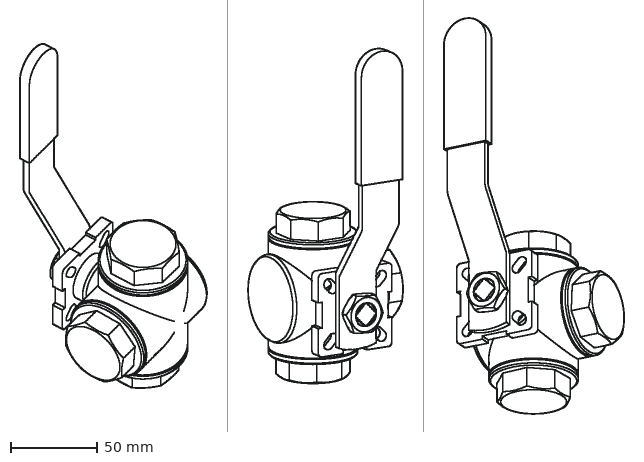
import math

import cadquery as cq


body_diameter = 52.0
port_reach = 36.5
back_reach = 29.0
ring_width = 3.3
groove_width = 0.6
groove_depth = 0.4
ring_chamfer = 1.0
back_chamfer_length = 2.0
back_chamfer_inset = 1.1

plug_height = 13.0
plug_sides = 8
plug_flats = 40.0
plug_face_diameter = 38.2
plug_bevel_angle = 30.0
top_plug_turn = -0.7
bottom_plug_turn = 3.6
front_plug_turn = -4.0

neck_diameter = 22.5
collar_diameter = 29.0
collar_start = 31.2
collar_chamfer = 1.5
neck_fillet = 1.3

flange_start = 39.5
flange_thickness = 7.1
flange_side = 50.0
flange_corner_radius = 2.5
side_notch_depth = 2.5
side_notch_width = 15.4
end_notch_depth = 2.0
end_notch_width = 16.0
slot_circle_diameter = 46.9
slot_spacing = 4.3
slot_width = 6.2

stem_diameter = 13.4
stem_flats = 10.3
stem_recess = 2.0
nut_sides = 6
nut_flats = 22.0
nut_height = 6.9
nut_bore = 14.0
nut_face_diameter = 20.5
nut_base_diameter = 22.8
nut_bevel_angle = 38.0
nut_turn = -4.5

strap_inner = 47.8
strap_thickness = 4.1
strap_width = 25.0
lever_offset = 1.5
strap_bottom = -22.0
strap_end_sagitta = 2.0
lower_bend = 23.9
upper_bend = 57.4
bend_inner_radius = 2.0
grip_outer = 78.85
grip_thickness = 6.8
grip_width = 28.0
grip_bottom = 83.8
lever_top = 162.61

strap_outer = strap_inner + strap_thickness
nut_end = strap_outer + nut_height

UP = cq.Vector(0, 0, 1)
DOWN = cq.Vector(0, 0, -1)
FRONT = cq.Vector(0, -1, 0)
STEM = cq.Vector(-1, 0, 0)


def plane_along(direction, distance=0.0, side=cq.Vector(0, 1, 0)):
    """Workplane normal to a direction, at a distance from the origin."""
    return cq.Workplane(cq.Plane(direction * distance, side, direction))


def bevelled_polygon(sides, flats, height, face_diameter, bevel_angle, base_diameter=None):
    """Prism along +Z, its corners cut back by cones that end at the face and base diameters.

    Without a base diameter the base keeps its full corners.
    """
    corner_diameter = flats / math.cos(math.pi / sides)
    base_diameter = base_diameter or corner_diameter
    corner_radius = corner_diameter / 2
    face_radius = face_diameter / 2
    base_radius = base_diameter / 2
    slope = math.tan(math.radians(bevel_angle))
    bevel_drop = (corner_radius - face_radius) * slope
    base_rise = (corner_radius - base_radius) * slope
    profile = cq.Workplane("XZ").lineTo(base_radius, 0)
    if base_rise > 0:
        profile = profile.lineTo(corner_radius, base_rise)
    envelope = (
        profile.lineTo(corner_radius, height - bevel_drop)
        .lineTo(face_radius, height)
        .lineTo(0, height)
        .close()
        .revolve(360, (0, 0, 0), (0, 1, 0))
    )
    prism = (
        cq.Workplane("XY")
        .polygon(sides, corner_diameter)
        .extrude(height)
        .rotate((0, 0, 0), (0, 0, 1), 180 / sides)
    )
    return prism.intersect(envelope)


def placed(shape, direction, distance, turn, side):
    """Turn a shape built along +Z about its axis, then stand it on a plane."""
    plane = cq.Plane(direction * distance, side, direction)
    return cq.Workplane(shape.rotate((0, 0, 0), (0, 0, 1), turn).val().moved(cq.Location(plane)))


def port_groove(direction):
    """Thin ring that separates a port ring from the body."""
    return (
        plane_along(direction, port_reach - ring_width - groove_width, cq.Vector(1, 0, 0))
        .circle(body_diameter / 2 + groove_depth)
        .circle(body_diameter / 2 - groove_depth)
        .extrude(groove_width)
    )


def make_body():
    run = (
        cq.Workplane("XY", origin=(0, 0, -port_reach))
        .circle(body_diameter / 2)
        .extrude(2 * port_reach)
        .faces("<Z or >Z")
        .chamfer(ring_chamfer)
    )
    run = run.cut(port_groove(UP)).cut(port_groove(DOWN))
    branch = (
        plane_along(FRONT, -back_reach, cq.Vector(1, 0, 0))
        .circle(body_diameter / 2)
        .extrude(back_reach + port_reach)
        .faces("<Y").chamfer(ring_chamfer)
        .faces(">Y").chamfer(back_chamfer_length, back_chamfer_inset)
    )
    branch = branch.cut(port_groove(FRONT))
    return run.union(branch)


def make_plugs():
    plug = bevelled_polygon(plug_sides, plug_flats, plug_height, plug_face_diameter, plug_bevel_angle)
    side = cq.Vector(1, 0, 0)
    plugs = placed(plug, UP, port_reach, top_plug_turn, side)
    plugs = plugs.union(placed(plug, DOWN, port_reach, bottom_plug_turn, side))
    return plugs.union(placed(plug, FRONT, port_reach, front_plug_turn, side))


def make_neck():
    """Neck, collar and stem, all round about the X axis."""
    neck = plane_along(STEM).circle(neck_diameter / 2).extrude(flange_start)
    collar = (
        plane_along(STEM, collar_start)
        .circle(collar_diameter / 2)
        .extrude(flange_start - collar_start)
        .faces(">X")
        .chamfer(collar_chamfer)
    )
    neck = neck.union(collar)
    collar_face_edges = neck.faces(cq.selectors.NearestToPointSelector((-collar_start, 0, 0))).edges()
    neck = collar_face_edges.edges(cq.selectors.RadiusNthSelector(0)).fillet(neck_fillet)
    stem = plane_along(STEM, flange_start).circle(stem_diameter / 2).extrude(strap_outer - flange_start)
    return neck.union(stem)


def make_flange():
    half = flange_side / 2
    base = plane_along(STEM, flange_start)
    flange = (
        base.rect(flange_side, flange_side)
        .extrude(flange_thickness)
        .edges("|X")
        .fillet(flange_corner_radius)
    )
    side_notches = (
        base.pushPoints([(-half, 0), (half, 0)])
        .rect(2 * side_notch_depth, side_notch_width)
        .extrude(flange_thickness)
    )
    end_notches = (
        base.pushPoints([(0, -half), (0, half)])
        .rect(end_notch_width, 2 * end_notch_depth)
        .extrude(flange_thickness)
    )
    flange = flange.cut(side_notches).cut(end_notches)
    slot = (
        base.center(slot_circle_diameter / 2, 0)
        .slot2D(slot_spacing + slot_width, slot_width)
        .extrude(flange_thickness)
    )
    for angle in (45, 135, 225, 315):
        flange = flange.cut(slot.rotate((0, 0, 0), (1, 0, 0), angle))
    return flange


def make_nut():
    """Hexagon nut with the clipped square stem end standing in its bore."""
    nut = bevelled_polygon(
        nut_sides, nut_flats, nut_height, nut_face_diameter, nut_bevel_angle, nut_base_diameter
    )
    corner_to_side = 180 / nut_sides
    nut = placed(nut, STEM, strap_outer, corner_to_side + nut_turn, cq.Vector(0, 1, 0))
    floor = plane_along(STEM, nut_end - stem_recess)
    bore = floor.circle(nut_bore / 2).extrude(stem_recess)
    stem_round = floor.circle(stem_diameter / 2).extrude(stem_recess)
    square = floor.transformed(rotate=(0, 0, 45)).rect(stem_flats, stem_flats).extrude(stem_recess)
    stem_end = stem_round.intersect(square)
    return nut.cut(bore.cut(stem_end))


def make_strap():
    """Cranked flat bar with a shallow arc at its lower end."""
    half_thickness = strap_thickness / 2
    lower_x = -(strap_inner + half_thickness)
    upper_x = -(grip_outer - grip_thickness / 2)
    crank_angle = math.atan2(lower_x - upper_x, upper_bend - lower_bend)
    mitre = half_thickness * math.tan(crank_angle / 2)
    outer_radius = bend_inner_radius + strap_thickness
    strap = (
        cq.Workplane("XZ", origin=(0, lever_offset + strap_width / 2, 0))
        .moveTo(lower_x - half_thickness, strap_bottom)
        .lineTo(lower_x + half_thickness, strap_bottom)
        .lineTo(lower_x + half_thickness, lower_bend + mitre)
        .lineTo(upper_x + half_thickness, upper_bend + mitre)
        .lineTo(upper_x + half_thickness, grip_bottom)
        .lineTo(upper_x - half_thickness, grip_bottom)
        .lineTo(upper_x - half_thickness, upper_bend - mitre)
        .lineTo(lower_x - half_thickness, lower_bend - mitre)
        .close()
        .extrude(strap_width)
    )
    bends = (
        (lower_x + half_thickness, lower_bend + mitre, outer_radius),
        (lower_x - half_thickness, lower_bend - mitre, bend_inner_radius),
        (upper_x + half_thickness, upper_bend + mitre, bend_inner_radius),
        (upper_x - half_thickness, upper_bend - mitre, outer_radius),
    )
    for x, z, radius in bends:
        strap = strap.edges(cq.selectors.NearestToPointSelector((x, lever_offset, z))).fillet(radius)
    right = lever_offset + strap_width / 2
    left = lever_offset - strap_width / 2
    arc_ends = strap_bottom + strap_end_sagitta
    rounded_outline = (
        cq.Workplane("YZ", origin=(-grip_outer, 0, 0))
        .moveTo(left, arc_ends)
        .threePointArc((lever_offset, strap_bottom), (right, arc_ends))
        .lineTo(right, grip_bottom)
        .lineTo(left, grip_bottom)
        .close()
        .extrude(grip_outer)
    )
    return strap.intersect(rounded_outline)


def make_grip():
    """Flat sleeve with a full round at the top."""
    arc_start = lever_top - grip_width / 2
    left = lever_offset - grip_width / 2
    right = lever_offset + grip_width / 2
    return (
        cq.Workplane("YZ", origin=(-grip_outer, 0, 0))
        .moveTo(left, grip_bottom)
        .lineTo(right, grip_bottom)
        .lineTo(right, arc_start)
        .threePointArc((lever_offset, lever_top), (left, arc_start))
        .close()
        .extrude(grip_thickness)
    )


result = make_body()
for piece in (make_plugs(), make_neck(), make_flange(), make_strap(), make_grip(), make_nut()):
    result = result.union(piece)